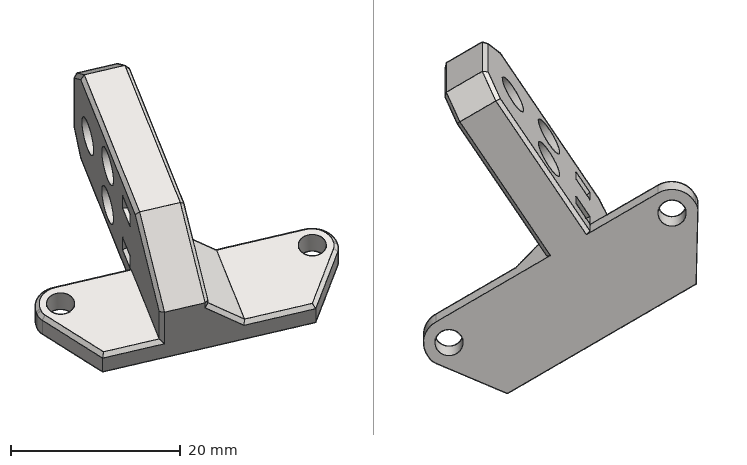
import cadquery as cq
import math

edge_chamfer = 0.5
overall_length = 35.27
overall_span = 37.05

plate_height = 15.2
plate_thickness = 6.0
plate_back_y = 0.0
front_corner_cut = 3.0
rear_slope_length = 10.0
rear_slope_drop = 7.0

plate_hole_diameter = 4.7
single_hole_x = 6.0
pair_hole_x = 14.0
pair_hole_spacing = 7.0

base_width = 12.2
base_thickness = 3.0
ear_radius = 3.1
ear_flat_end = 4.0
ear_side_drop = 5.4
ear_blend_radius = 2.0
screw_hole_diameter = 3.3
screw_hole_spacing = 31.0
screw_hole_inset = 3.05
base_start_x = overall_length - base_width

brace_leg = 4.5

channel_width = 3.05
channel_mouth_span = 9.8
channel_mouth_height = 2.25
channel_depth = 3.25
channel_passage = 2.45
channel_slope = math.radians(20)
channel_corner_radius = 1.05

plate_front_y = plate_back_y - plate_thickness
plate_mid_z = plate_height / 2


def make_plate():
    """Upright plate with cut corners, chamfered around both large faces."""
    outline = [
        (0, front_corner_cut),
        (front_corner_cut, 0),
        (overall_length, 0),
        (overall_length, plate_height - rear_slope_drop),
        (overall_length - rear_slope_length, plate_height),
        (front_corner_cut, plate_height),
        (0, plate_height - front_corner_cut),
    ]
    plate = (
        cq.Workplane("XZ", origin=(0, plate_back_y, 0))
        .polyline(outline)
        .close()
        .extrude(plate_thickness)
    )
    return plate.faces("<Y or >Y").chamfer(edge_chamfer)


def make_base():
    """Flat base with a rounded ear and a screw hole at each end."""
    half_span = overall_span / 2
    side_y = half_span - ear_side_drop
    ear_end_x = base_start_x + ear_flat_end
    outline = [
        (base_start_x, -half_span),
        (ear_end_x, -half_span),
        (overall_length, -side_y),
        (overall_length, side_y),
        (ear_end_x, half_span),
        (base_start_x, half_span),
    ]
    base = cq.Workplane("XY").polyline(outline).close().extrude(base_thickness)
    base = base.edges("|Z and <X").fillet(ear_radius)

    blend_corners = cq.selectors.BoxSelector(
        (ear_end_x - edge_chamfer, -overall_span, 0),
        (ear_end_x + edge_chamfer, overall_span, base_thickness),
    )
    base = base.edges("|Z").edges(blend_corners).fillet(ear_blend_radius)
    base = base.faces(">Z").chamfer(edge_chamfer)

    hole_y = screw_hole_spacing / 2
    holes = (
        cq.Workplane("XY")
        .pushPoints([(base_start_x + screw_hole_inset, y) for y in (-hole_y, hole_y)])
        .circle(screw_hole_diameter / 2)
        .extrude(base_thickness)
    )
    return base.cut(holes)


def make_brace():
    """45-degree brace, run into the plate far enough to fill its edge chamfer."""
    inner_y = plate_back_y - edge_chamfer
    foot_y = plate_back_y + brace_leg + base_thickness
    outline = [
        (inner_y, 0),
        (foot_y, 0),
        (inner_y, foot_y - inner_y),
    ]
    brace = (
        cq.Workplane("YZ", origin=(base_start_x, 0, 0))
        .polyline(outline)
        .close()
        .extrude(base_width)
    )
    sloped_face = cq.selectors.DirectionMinMaxSelector(cq.Vector(0, 1, 1))
    return brace.faces(sloped_face).edges("<X or >X").chamfer(edge_chamfer)


def make_plate_holes():
    """One hole near the front end and a vertical pair behind it."""
    half_spacing = pair_hole_spacing / 2
    centers = [
        (single_hole_x, plate_mid_z),
        (pair_hole_x, plate_mid_z - half_spacing),
        (pair_hole_x, plate_mid_z + half_spacing),
    ]
    return (
        cq.Workplane("XZ", origin=(0, plate_back_y, 0))
        .pushPoints(centers)
        .circle(plate_hole_diameter / 2)
        .extrude(plate_thickness)
    )


def channel_prism(depth, half_mouth):
    """Prism that narrows from the plate's front face towards a flat bottom."""
    half_bottom = half_mouth - depth * math.tan(channel_slope)
    bottom_y = plate_front_y + depth
    outline = [
        (plate_front_y, plate_mid_z - half_mouth),
        (bottom_y, plate_mid_z - half_bottom),
        (bottom_y, plate_mid_z + half_bottom),
        (plate_front_y, plate_mid_z + half_mouth),
    ]
    return (
        cq.Workplane("YZ", origin=(base_start_x - channel_width, 0, 0))
        .polyline(outline)
        .close()
        .extrude(channel_width)
    )


def make_channel():
    """Strap channel that loops behind a core left standing between its mouths."""
    half_mouth = channel_mouth_span / 2
    outer = channel_prism(channel_depth, half_mouth)
    outer = outer.faces(">Y").edges("|X").fillet(channel_corner_radius)
    core = channel_prism(channel_depth - channel_passage, half_mouth - channel_mouth_height)
    return outer.cut(core)


result = (
    make_plate()
    .union(make_base())
    .union(make_brace())
    .cut(make_plate_holes())
    .cut(make_channel())
)